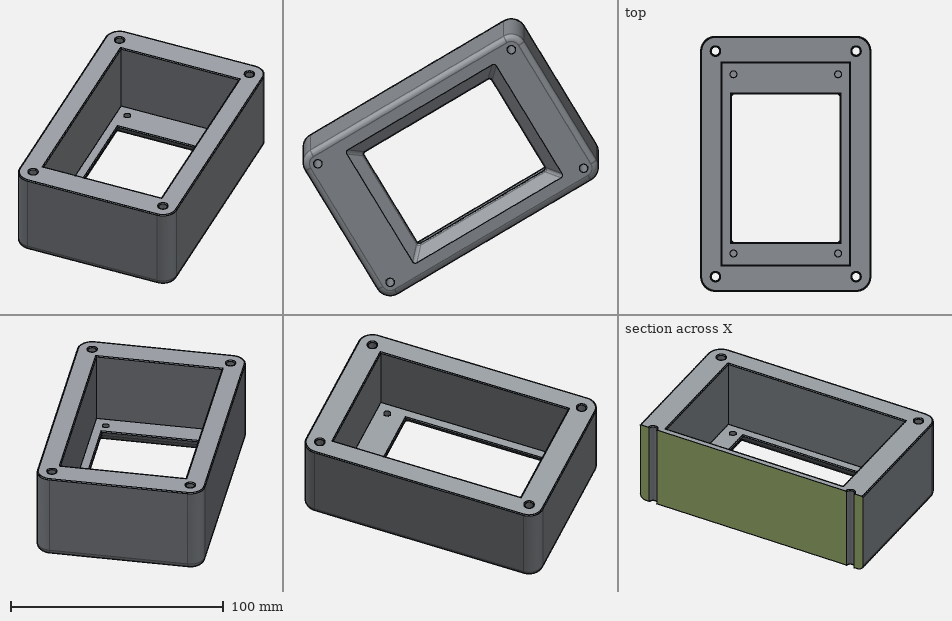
import cadquery as cq

width = 80.0
length = 120.0
height = 43.0
corner_radius = 7.0
bottom_fillet = 3.0
edge_chamfer = 0.5

cavity_width = 60.0
cavity_length = 95.0
floor_thickness = 7.9

window_width = 51.0
window_length = 70.0
window_offset_y = -2.0
window_corner_radius = 1.5

flare_depth = 6.0
flare_blend_radius = 1.9

corner_hole_diameter = 4.0
corner_hole_rim_diameter = corner_hole_diameter + 2 * edge_chamfer
corner_hole_rim_angle = 90
corner_hole_spacing_x = width - 2 * corner_radius
corner_hole_spacing_y = length - 2 * corner_radius

floor_hole_diameter = 3.2
floor_hole_depth = 3.6
floor_hole_spacing_x = 49.2
floor_hole_spacing_y = 84.2


def make_body():
    body = cq.Workplane("XY").box(width, length, height, centered=(True, True, False))
    body = body.edges("|Z").fillet(corner_radius)
    body = body.faces("<Z").edges().fillet(bottom_fillet)
    return body.faces(">Z").edges().chamfer(edge_chamfer)


def rectangular_chamfer(opening_width, opening_length, top_z):
    """Cutter that bevels the rim of a sharp-cornered opening centred on the Z axis."""
    bottom = cq.Workplane("XY").workplane(offset=top_z - edge_chamfer)
    bottom = bottom.rect(opening_width, opening_length)
    top = bottom.workplane(offset=edge_chamfer)
    top = top.rect(opening_width + 2 * edge_chamfer, opening_length + 2 * edge_chamfer)
    return top.loft(ruled=True)


def cut_cavity(body):
    cavity = (
        cq.Workplane("XY")
        .workplane(offset=floor_thickness)
        .rect(cavity_width, cavity_length)
        .extrude(height - floor_thickness)
    )
    return body.cut(cavity).cut(rectangular_chamfer(cavity_width, cavity_length, height))


def rounded_rectangle(size_x, size_y, z):
    sketch = cq.Sketch().rect(size_x, size_y).vertices().fillet(window_corner_radius)
    return sketch.moved(cq.Location(cq.Vector(0, 0, z)))


def window_flare():
    """Cutter that widens the window at 45 degrees towards the underside."""
    narrow = rounded_rectangle(window_width, window_length, flare_depth)
    wide = rounded_rectangle(window_width + 2 * flare_depth, window_length + 2 * flare_depth, 0)
    return cq.Workplane("XY").placeSketch(wide, narrow).loft(ruled=True)


def window_outline_at(z):
    """Selector for the outline of the straight window wall at height z."""
    margin = 0.5
    reach_x = window_width / 2 + margin
    reach_y = window_length / 2 + margin
    return cq.selectors.BoxSelector(
        (-reach_x, window_offset_y - reach_y, z - margin),
        (reach_x, window_offset_y + reach_y, z + margin),
    )


def cut_window(body):
    window = (
        cq.Workplane("XY")
        .rect(window_width, window_length)
        .extrude(floor_thickness)
        .edges("|Z")
        .fillet(window_corner_radius)
    )
    shift = (0, window_offset_y, 0)
    body = body.cut(window.translate(shift))
    body = body.cut(window_flare().translate(shift))
    body = body.edges(window_outline_at(flare_depth)).fillet(flare_blend_radius)
    bevel = rectangular_chamfer(window_width, window_length, floor_thickness)
    return body.cut(bevel.translate(shift))


def cut_corner_holes(body):
    return (
        body.faces(">Z")
        .workplane(origin=(0, 0, height))
        .rect(corner_hole_spacing_x, corner_hole_spacing_y, forConstruction=True)
        .vertices()
        .cskHole(corner_hole_diameter, corner_hole_rim_diameter, corner_hole_rim_angle)
    )


def cut_floor_holes(body):
    holes = (
        cq.Workplane("XY")
        .workplane(offset=floor_thickness)
        .rect(floor_hole_spacing_x, floor_hole_spacing_y, forConstruction=True)
        .vertices()
        .circle(floor_hole_diameter / 2)
        .extrude(-floor_hole_depth)
    )
    return body.cut(holes)


result = make_body()
result = cut_cavity(result)
result = cut_window(result)
result = cut_corner_holes(result)
result = cut_floor_holes(result)